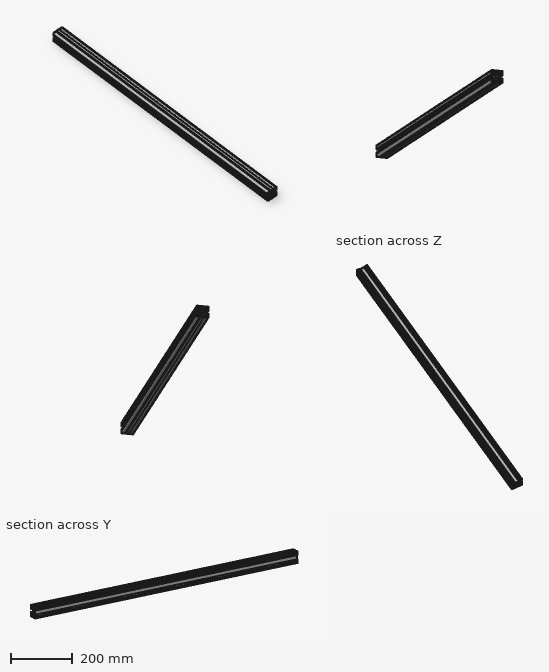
import cadquery as cq
import math

length = 1000.0
width = 40.0
corner_radius = 3.0
bore_diameter = 10.0

wall = 1.5

slot_opening = 10.0
lip_thickness = 6.0
cavity_width = 20.5
shoulder_depth = 9.5
slot_depth = 12.75
floor_width = 13.0
mouth_flare = 0.9

chamber_end_offset = 9.5
chamber_outer_radius = 4.0
chamber_inner_radius = 2.0

half = width / 2
skin_level = half - wall
lip_level = half - lip_thickness
chamber_thickness = lip_thickness - 2 * wall


def prism(outline):
    """Extrude a closed YZ outline over the full length of the bar."""
    return outline.close().extrude(length)


def mirrored_outline(upper):
    """Close a list of (y, z) points with its mirror image below the Y axis."""
    lower = [(y, -z) for y, z in reversed(upper)]
    return cq.Workplane("YZ").polyline(upper + lower)


def slot_cavity():
    """T-slot space under the outer skin on the +Y side."""
    return prism(mirrored_outline([
        (skin_level, slot_opening / 2),
        (lip_level, slot_opening / 2),
        (lip_level, cavity_width / 2),
        (half - shoulder_depth, cavity_width / 2),
        (half - slot_depth, floor_width / 2),
    ]))


def slot_mouth():
    """Flared opening through the outer skin on the +Y side."""
    return prism(mirrored_outline([
        (half, slot_opening / 2 + mouth_flare),
        (skin_level, slot_opening / 2),
    ]))


def corner_chamber():
    """L-shaped chamber in the +Y +Z corner, with round arm ends and bends."""
    outer = skin_level
    inner = skin_level - chamber_thickness
    middle = (outer + inner) / 2
    end = chamber_end_offset
    tip = end - chamber_thickness / 2
    outer_start = outer - chamber_outer_radius
    outer_mid = outer_start + chamber_outer_radius * math.sqrt(0.5)
    inner_start = inner - chamber_inner_radius
    inner_mid = inner_start + chamber_inner_radius * math.sqrt(0.5)
    return prism(
        cq.Workplane("YZ")
        .moveTo(end, outer)
        .lineTo(outer_start, outer)
        .threePointArc((outer_mid, outer_mid), (outer, outer_start))
        .lineTo(outer, end)
        .threePointArc((middle, tip), (inner, end))
        .lineTo(inner, inner_start)
        .threePointArc((inner_mid, inner_mid), (inner_start, inner))
        .lineTo(end, inner)
        .threePointArc((tip, middle), (end, outer))
    )


def turned(cutter, angle):
    """Turn a cutter about the long axis of the bar."""
    return cutter.rotate((0, 0, 0), (1, 0, 0), angle)


bar = cq.Workplane("YZ").rect(width, width).extrude(length)
bar = bar.edges("|X").fillet(corner_radius)
bar = bar.cut(cq.Workplane("YZ").circle(bore_diameter / 2).extrude(length))

for quarter_turn in (0, 90, 180, 270):
    bar = bar.cut(turned(slot_cavity(), quarter_turn))
    bar = bar.cut(turned(corner_chamber(), quarter_turn))

for open_side in (0, 180):
    bar = bar.cut(turned(slot_mouth(), open_side))

result = bar